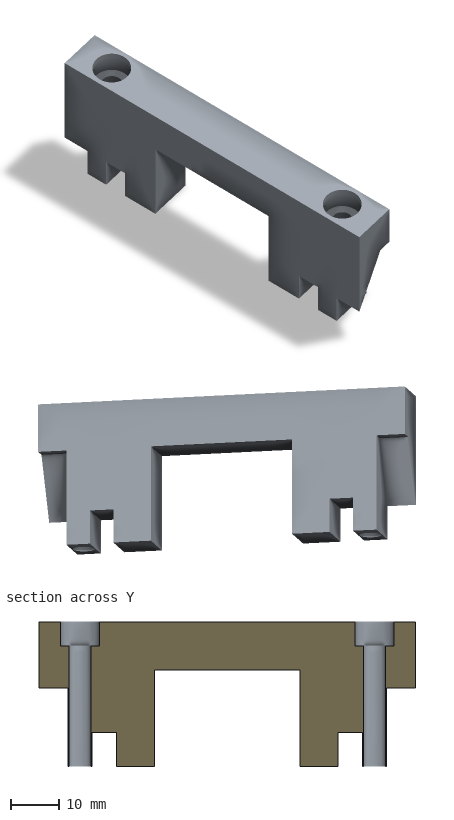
import cadquery as cq

length = 78.0
depth = 10.0
height = 30.0

opening_width = 30.0
opening_height = 20.0

overhang = 6.0
foot_height = 7.0
outer_foot = 5.0
foot_slot = 5.0
ledge_depth = 3.0

hole_diameter = 4.5
bore_diameter = 8.0
bore_depth = 5.0
hole_x = length / 2 - overhang - outer_foot / 2


def box_cut(x_start, x_size, cut_height):
    """Box through the full depth, rising from the underside."""
    block = cq.Workplane("XY").box(x_size, depth, cut_height, centered=(False, True, False))
    return block.translate((x_start, 0, 0))


def overhang_cut(x_start):
    """Relief under an end: slopes up from the front to a flat ledge at the back."""
    front = -depth / 2
    back = depth / 2
    return (
        cq.Workplane("YZ", origin=(x_start, 0, 0))
        .moveTo(front, 0)
        .lineTo(front, foot_height)
        .lineTo(back - ledge_depth, opening_height)
        .lineTo(back, opening_height)
        .lineTo(back, 0)
        .close()
        .extrude(overhang)
    )


body = cq.Workplane("XY").box(length, depth, height, centered=(True, True, False))
body = body.cut(box_cut(-opening_width / 2, opening_width, opening_height))

body = body.cut(overhang_cut(-length / 2))
body = body.cut(overhang_cut(length / 2 - overhang))

slot_outer_x = length / 2 - overhang - outer_foot
body = body.cut(box_cut(-slot_outer_x, foot_slot, foot_height))
body = body.cut(box_cut(slot_outer_x - foot_slot, foot_slot, foot_height))

result = (
    body.faces(">Z")
    .workplane(origin=(0, 0, height))
    .pushPoints([(-hole_x, 0), (hole_x, 0)])
    .cboreHole(hole_diameter, bore_diameter, bore_depth)
)